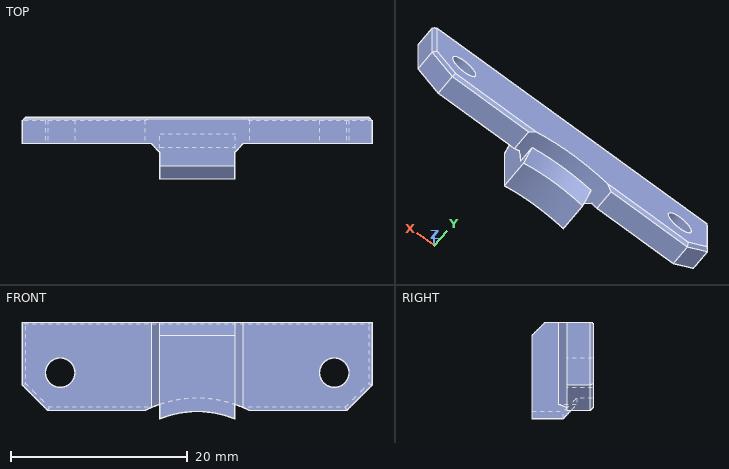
import cadquery as cq
import math

plate_length = 39.6
plate_height = 10.0
plate_thickness = 3.0
corner_cut = 2.9
back_edge_chamfer = 0.4
top_back_chamfer = 0.2

hole_diameter = 3.3
hole_spacing = 31.0
hole_depth_below_top = 5.7

boss_width = 8.5
boss_height = 10.93
boss_reach = 4.0
boss_top_chamfer = 1.5
web_width = 0.95
web_depth = 1.0

boss_clearance_radius = 11.3
clearance_step = 1.55
cone_start_y = -0.45
plate_clearance_radius = boss_clearance_radius + clearance_step
cone_end_y = cone_start_y + clearance_step
clearance_axis_z = -boss_height - math.sqrt(boss_clearance_radius**2 - (boss_width / 2) ** 2)


def front_sketch(y):
    """XZ workplane at the given Y; a positive extrusion runs toward -Y."""
    return cq.Workplane("XZ", origin=(0, y, 0))


def make_plate():
    half_length = plate_length / 2
    plate = (
        front_sketch(plate_thickness)
        .moveTo(-half_length, 0)
        .lineTo(half_length, 0)
        .lineTo(half_length, corner_cut - plate_height)
        .lineTo(half_length - corner_cut, -plate_height)
        .lineTo(corner_cut - half_length, -plate_height)
        .lineTo(-half_length, corner_cut - plate_height)
        .close()
        .extrude(plate_thickness)
    )
    plate = plate.faces(">Y").edges("not >Z").chamfer(back_edge_chamfer)
    return plate.faces(">Y").edges(">Z").chamfer(top_back_chamfer)


def make_webs():
    """Trapezoid behind the boss whose slanted ends are the two webs."""
    half_boss = boss_width / 2
    return (
        cq.Workplane("XY")
        .moveTo(-half_boss - web_width, 0)
        .lineTo(-half_boss, -web_depth)
        .lineTo(half_boss, -web_depth)
        .lineTo(half_boss + web_width, 0)
        .close()
        .extrude(-plate_height)
    )


def make_boss():
    """Boss with a chamfered top, reaching into the plate as far as the cone does."""
    boss = cq.Workplane("XY").box(
        boss_width, boss_reach + cone_end_y, boss_height, centered=(True, False, False)
    )
    boss = boss.translate((0, -boss_reach, -boss_height))
    return boss.faces("<Y").edges(">Z").chamfer(boss_top_chamfer)


def make_plate_clearance():
    return (
        front_sketch(plate_thickness)
        .center(0, clearance_axis_z)
        .circle(plate_clearance_radius)
        .extrude(plate_thickness + web_depth)
    )


def make_boss_clearance():
    """Cylinder that widens into a cone, revolved about the clearance axis."""
    return (
        cq.Workplane("XY", origin=(0, 0, clearance_axis_z))
        .moveTo(0, -boss_reach)
        .lineTo(boss_clearance_radius, -boss_reach)
        .lineTo(boss_clearance_radius, cone_start_y)
        .lineTo(plate_clearance_radius, cone_end_y)
        .lineTo(0, cone_end_y)
        .close()
        .revolve(360, (0, 0, 0), (0, 1, 0))
    )


def make_screw_holes():
    return (
        front_sketch(plate_thickness)
        .pushPoints([(side * hole_spacing / 2, -hole_depth_below_top) for side in (-1, 1)])
        .circle(hole_diameter / 2)
        .extrude(plate_thickness)
    )


plate_with_webs = make_plate().union(make_webs()).cut(make_plate_clearance())
boss = make_boss().cut(make_boss_clearance())
result = plate_with_webs.union(boss).cut(make_screw_holes())